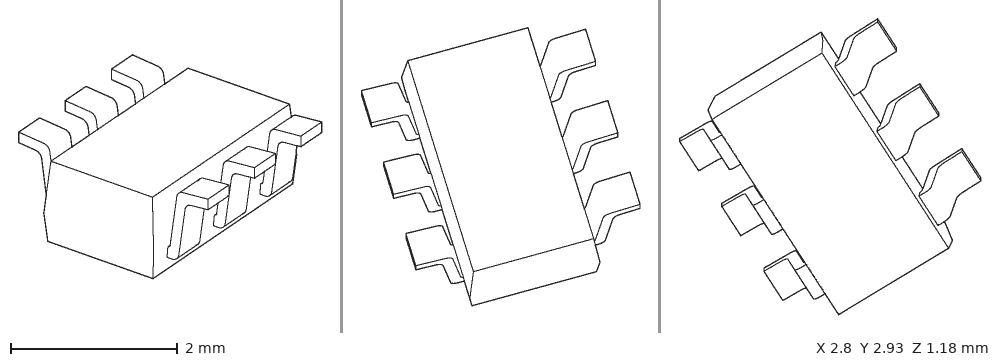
import math

import cadquery as cq


BODY_WIDTH = 1.625
BODY_LENGTH = 2.93
BODY_HEIGHT = 1.10
PARTING_Z = 0.395
DRAFT_ANGLE = 5.0

LEADS_PER_SIDE = 3
LEAD_PITCH = 0.95
LEAD_WIDTH = 0.43
LEAD_THICKNESS = 0.14
FOOT_THICKNESS = 0.146
LEAD_SPAN = 2.8
LEAD_TOP_Z = 1.178
LEAD_BOTTOM_Z = 0.18
LEG_FOOT_X = 0.956
LEG_ANGLE = 8.0
FOOT_ANGLE = 5.0
BEND_RADIUS = 0.1
STUB_FILLET_RADIUS = 0.06
LEAD_EMBED_X = 0.6


def drafted_block(height):
    """Block tapering away from the parting plane: upward if height is positive, else downward."""
    parting_plane = cq.Workplane("XY", origin=(0, 0, PARTING_Z))
    return parting_plane.rect(BODY_WIDTH, BODY_LENGTH).extrude(height, taper=DRAFT_ANGLE)


def make_body():
    """Two drafted halves meeting at the parting plane."""
    upper = drafted_block(BODY_HEIGHT - PARTING_Z)
    lower = drafted_block(-PARTING_Z)
    return upper.union(lower)


def leg_foot_corner(leg_base_x, foot_tip_z):
    """Point where a leg face crosses a foot face, on the +X side.

    The leg face starts at leg_base_x on the lead's bottom plane and leans outward;
    the foot face starts at foot_tip_z at the lead's tip and falls inward.
    """
    lean = math.tan(math.radians(LEG_ANGLE))
    slope = math.tan(math.radians(FOOT_ANGLE))
    tip_x = LEAD_SPAN / 2
    rise = foot_tip_z - LEAD_BOTTOM_Z - slope * (tip_x - leg_base_x)
    height = rise / (1 - slope * lean)
    return (leg_base_x + lean * height, LEAD_BOTTOM_Z + height)


def round_corner(lead, corner, radius):
    """Fillet the lead's widthwise edge at the given (x, z) corner."""
    x, z = corner
    return lead.edges(cq.selectors.NearestToPointSelector((x, 0, z))).fillet(radius)


def make_lead():
    """One bent lead on the +X side, centred on Y = 0."""
    tip_x = LEAD_SPAN / 2
    foot_underside_z = LEAD_TOP_Z - FOOT_THICKNESS / math.cos(math.radians(FOOT_ANGLE))
    inner_base_x = LEG_FOOT_X - LEAD_THICKNESS / math.cos(math.radians(LEG_ANGLE))
    stub_top_z = LEAD_BOTTOM_Z + LEAD_THICKNESS
    inner_stub_x = inner_base_x + LEAD_THICKNESS * math.tan(math.radians(LEG_ANGLE))

    base_corner = (LEG_FOOT_X, LEAD_BOTTOM_Z)
    foot_underside_corner = leg_foot_corner(LEG_FOOT_X, foot_underside_z)
    foot_top_corner = leg_foot_corner(inner_base_x, LEAD_TOP_Z)
    stub_corner = (inner_stub_x, stub_top_z)
    outline = [
        (LEAD_EMBED_X, LEAD_BOTTOM_Z),
        base_corner,
        foot_underside_corner,
        (tip_x, foot_underside_z),
        (tip_x, LEAD_TOP_Z),
        foot_top_corner,
        stub_corner,
        (LEAD_EMBED_X, stub_top_z),
    ]
    lead = cq.Workplane("XZ").polyline(outline).close().extrude(LEAD_WIDTH / 2, both=True)
    for corner in (base_corner, foot_underside_corner, foot_top_corner):
        lead = round_corner(lead, corner, BEND_RADIUS)
    return round_corner(lead, stub_corner, STUB_FILLET_RADIUS)


def add_leads(body):
    """Place a row of leads along each long side of the body."""
    right_lead = make_lead()
    left_lead = right_lead.mirror("YZ")
    for index in range(LEADS_PER_SIDE):
        y = (index - (LEADS_PER_SIDE - 1) / 2) * LEAD_PITCH
        body = body.union(right_lead.translate((0, y, 0)))
        body = body.union(left_lead.translate((0, y, 0)))
    return body


result = add_leads(make_body())